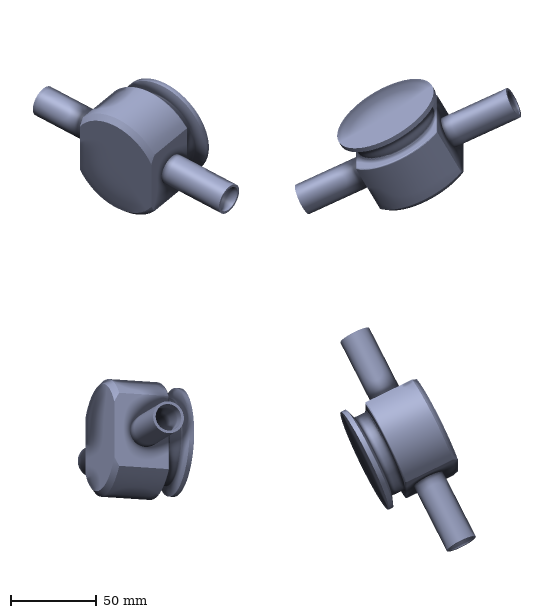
import cadquery as cq
import math

tube_length = 139.7
tube_diameter = 19.0
bore_diameter = 15.8

body_diameter = 69.2
body_width = 53.6
body_front = -19.1
body_depth = 34.1
front_chamfer = 3.1
back_edge_radius = 0.8

neck_diameter = 50.9
neck_fillet = 0.8
flange_diameter = 63.8
flange_rim = 3.0
flange_slope_degrees = 20
overall_depth = 47.6

body_radius = body_diameter / 2
neck_radius = neck_diameter / 2
flange_radius = flange_diameter / 2
half_width = body_width / 2
body_back = body_front + body_depth
flange_back = body_front + overall_depth
rim_front = flange_back - flange_rim
flange_overhang = flange_radius - neck_radius
flange_front = rim_front - flange_overhang * math.tan(math.radians(flange_slope_degrees))
round_sag = back_edge_radius * (1 - math.sqrt(0.5))


def make_turned_body():
    """Revolve the body, neck and flange about the Y axis."""
    turned = (
        cq.Workplane("XY")
        .moveTo(0, body_front)
        .lineTo(body_radius - front_chamfer, body_front)
        .lineTo(body_radius, body_front + front_chamfer)
        .lineTo(body_radius, body_back - back_edge_radius)
        .threePointArc(
            (body_radius - round_sag, body_back - round_sag),
            (body_radius - back_edge_radius, body_back),
        )
        .lineTo(neck_radius, body_back)
        .lineTo(neck_radius, flange_front)
        .lineTo(flange_radius, rim_front)
        .lineTo(flange_radius, flange_back)
        .lineTo(0, flange_back)
        .close()
        .revolve(360, (0, 0, 0), (0, 1, 0))
    )
    neck_ends = turned.edges(cq.selectors.RadiusNthSelector(1))
    return neck_ends.fillet(neck_fillet)


def make_side_cutter():
    """Material outside the +X flat, with the rounded back edge of the body."""
    return (
        cq.Workplane("XY")
        .moveTo(half_width, body_front)
        .lineTo(half_width, body_back - back_edge_radius)
        .threePointArc(
            (half_width - round_sag, body_back - round_sag),
            (half_width - back_edge_radius, body_back),
        )
        .lineTo(body_diameter, body_back)
        .lineTo(body_diameter, body_front)
        .close()
        .extrude(body_diameter, both=True)
    )


def make_rod(diameter):
    """Round bar of the full tube length, centred on the X axis."""
    return (
        cq.Workplane("YZ")
        .circle(diameter / 2)
        .extrude(tube_length / 2, both=True)
    )


side_cutter = make_side_cutter()
body = make_turned_body()
body = body.cut(side_cutter).cut(side_cutter.mirror("YZ"))
result = body.union(make_rod(tube_diameter)).cut(make_rod(bore_diameter))